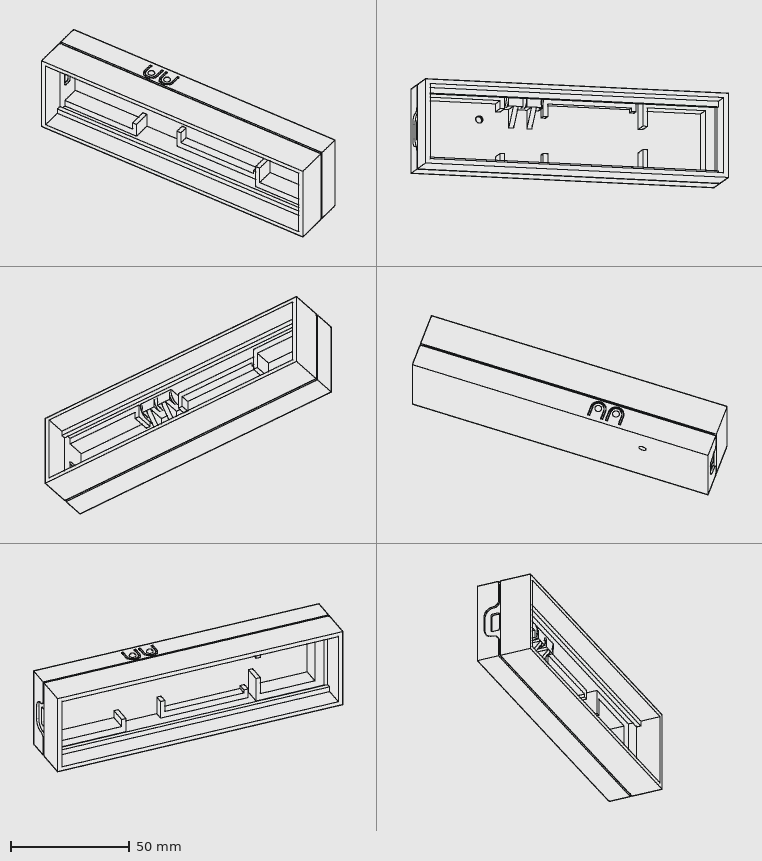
import cadquery as cq

length = 132.4
height = 36.3
depth = 24.8
wall = 2.0
end_wall = 2.1
rear_depth = 9.9
seam_gap = 0.8
half_length = length / 2
half_height = height / 2
seam_y = depth - rear_depth
front_depth = seam_y - seam_gap
floor_y = depth - wall
cavity_depth = floor_y - seam_y
inner_length = length - 2 * end_wall
inner_height = height - 2 * wall
inner_half_length = inner_length / 2
inner_half_height = inner_height / 2

lip_inset = 0.99
lip_tip_y = 11.0
lip_length = length - 2 * lip_inset
lip_height = height - 2 * lip_inset

ledge_depth = 2.0
ledge_height = 2.4

rib_width = 2.0
low_rib_depth = 4.0
left_rib_x = -29.8
left_rib_reach = 9.7
left_pad_z = 13.1
middle_rib_x = -9.9
middle_rib_reach = 8.0
middle_stub_x = 28.7
middle_stub_reach = 11.9
middle_pad_z = 13.4
right_rib_x = 32.6
right_rib_reach = 5.0
right_pad_z = 13.0
right_block_x = 59.8

contact_pitch = 8.0
contact_mid_x = -18.9
contact_xs = [contact_mid_x - contact_pitch / 2, contact_mid_x + contact_pitch / 2]
contact_y = seam_y + cavity_depth / 2
holder_width = 16.2
holder_bottom_z = 11.0
holder_round = 4.0
socket_width = 6.4
gusset_width = 2.1
dome_diameter = 3.0
dome_height = 1.0

groove_outer_radius = 3.3
groove_width = 0.8
groove_leg = 4.2
groove_depth = 1.0

hole_diameter = 3.0
hole_x = -36.8
hole_z = 6.1

port_z = -0.8
port_height = 8.5
port_depth = 4.0
port_corner = 0.8
recess_height = 14.2
recess_depth = 6.8
recess_corner = 4.0
mouth_radius = 2.5


def block(x0, x1, y0, y1, z0, z1):
    """Box between two opposite corners."""
    return cq.Workplane("XY").box(x1 - x0, y1 - y0, z1 - z0, centered=False).translate((x0, y0, z0))


def centred_block(size_x, size_z, y0, y1):
    """Box centred on the Y axis."""
    return block(-size_x / 2, size_x / 2, y0, y1, -size_z / 2, size_z / 2)


def mirrored_in_z(shape):
    """The shape together with its mirror image below the mid-plane."""
    return shape.union(shape.mirror("XY"))


def make_front_shell():
    shell = centred_block(length, height, 0, front_depth)
    shell = shell.cut(centred_block(inner_length, inner_height, 0, front_depth))
    shell = shell.cut(centred_block(lip_length, lip_height, lip_tip_y, front_depth))
    ledge = block(
        -inner_half_length, inner_half_length,
        lip_tip_y - ledge_depth, lip_tip_y,
        inner_half_height - ledge_height, inner_half_height,
    )
    return shell.union(mirrored_in_z(ledge))


def make_rear_tray():
    """Rear shell with its lip, before the inner details."""
    tray = centred_block(length, height, seam_y, depth)
    tray = tray.union(centred_block(lip_length, lip_height, lip_tip_y, seam_y))
    return tray.cut(centred_block(inner_length, inner_height, lip_tip_y, floor_y))


def hanging(x0, x1, bottom_z, rise=cavity_depth):
    """Block from the top wall down to bottom_z, standing off the rear wall by its rise."""
    return block(x0, x1, floor_y - rise, floor_y, bottom_z, inner_half_height)


def make_ribs():
    """Pads along the top and bottom walls, ending in short ribs, and the block at the right end."""
    left_end = left_rib_x + rib_width
    stub_end = middle_stub_x + rib_width
    ribs = hanging(-inner_half_length, left_end, left_pad_z)
    ribs = ribs.union(hanging(left_rib_x, left_end, left_rib_reach))
    ribs = ribs.union(hanging(middle_rib_x, stub_end, middle_pad_z, low_rib_depth))
    ribs = ribs.union(hanging(middle_rib_x, middle_rib_x + rib_width, middle_rib_reach, low_rib_depth))
    ribs = ribs.union(hanging(middle_stub_x, stub_end, middle_stub_reach, low_rib_depth))
    ribs = ribs.union(hanging(right_rib_x, inner_half_length, right_pad_z))
    ribs = ribs.union(hanging(right_rib_x, right_rib_x + rib_width, right_rib_reach))
    return mirrored_in_z(ribs).union(hanging(right_block_x, inner_half_length, -inner_half_height))


def make_contact_holder():
    """Bar with a rounded lower front edge, crossed by a square socket block over each gusset."""
    bar = hanging(contact_mid_x - holder_width / 2, contact_mid_x + holder_width / 2, holder_bottom_z)
    holder = bar.edges("|X and <Y and <Z").fillet(holder_round)
    for x in contact_xs:
        holder = holder.union(hanging(x - socket_width / 2, x + socket_width / 2, holder_bottom_z))
        gusset = (
            cq.Workplane("YZ", origin=(x - gusset_width / 2, 0, 0))
            .moveTo(seam_y, holder_bottom_z)
            .lineTo(floor_y, holder_bottom_z)
            .lineTo(floor_y, holder_bottom_z - cavity_depth)
            .close()
            .extrude(gusset_width)
        )
        holder = holder.union(gusset)
    return holder


def make_dome(x):
    """Ball sunk into the top wall, standing out of it by dome_height."""
    radius = dome_diameter / 2
    return cq.Workplane("XY").sphere(radius).translate((x, contact_y, half_height + dome_height - radius))


def u_prism(x, radius):
    """U-shaped plug, open legs toward the back, reaching groove_depth into the top wall."""
    return (
        cq.Workplane("XY", origin=(x, contact_y, half_height - groove_depth))
        .moveTo(-radius, groove_leg)
        .lineTo(-radius, 0)
        .threePointArc((0, -radius), (radius, 0))
        .lineTo(radius, groove_leg)
        .close()
        .extrude(groove_depth)
    )


def make_groove(x):
    return u_prism(x, groove_outer_radius).cut(u_prism(x, groove_outer_radius - groove_width))


def make_port():
    """Plug opening through the left wall."""
    opening = block(
        -half_length, -inner_half_length,
        seam_y, seam_y + port_depth,
        port_z - port_height / 2, port_z + port_height / 2,
    )
    return opening.edges("|X").fillet(port_corner)


def make_port_recess():
    """Recess down to the lip face, with rounded corners and a mouth flaring out at the seam."""
    flare_height = recess_height + 2 * mouth_radius
    mouth_y = seam_y + mouth_radius
    recess = (
        cq.Workplane("YZ", origin=(-half_length, 0, 0))
        .rect(2 * recess_depth, recess_height)
        .extrude(lip_inset)
        .edges("|X")
        .fillet(recess_corner)
        .translate((0, seam_y, 0))
    )
    mouth = block(-half_length, -half_length + lip_inset, seam_y, mouth_y, -flare_height / 2, flare_height / 2)
    for side in (-1, 1):
        round_off = (
            cq.Workplane("YZ", origin=(-half_length, mouth_y, side * flare_height / 2))
            .circle(mouth_radius)
            .extrude(lip_inset)
        )
        mouth = mouth.cut(round_off)
    recess = recess.intersect(centred_block(length, height, seam_y, depth))
    return recess.union(mouth).translate((0, 0, port_z))


def make_rear_shell():
    shell = make_rear_tray().union(make_ribs()).union(make_contact_holder())
    for x in contact_xs:
        shell = shell.cut(make_groove(x)).union(make_dome(x))
    rear_hole = (
        cq.Workplane("XZ", origin=(hole_x, depth, hole_z))
        .circle(hole_diameter / 2)
        .extrude(wall)
    )
    return shell.cut(rear_hole).cut(make_port_recess()).cut(make_port())


front_shell = make_front_shell()
rear_shell = make_rear_shell()
result = cq.Compound.makeCompound([front_shell.val(), rear_shell.val()])